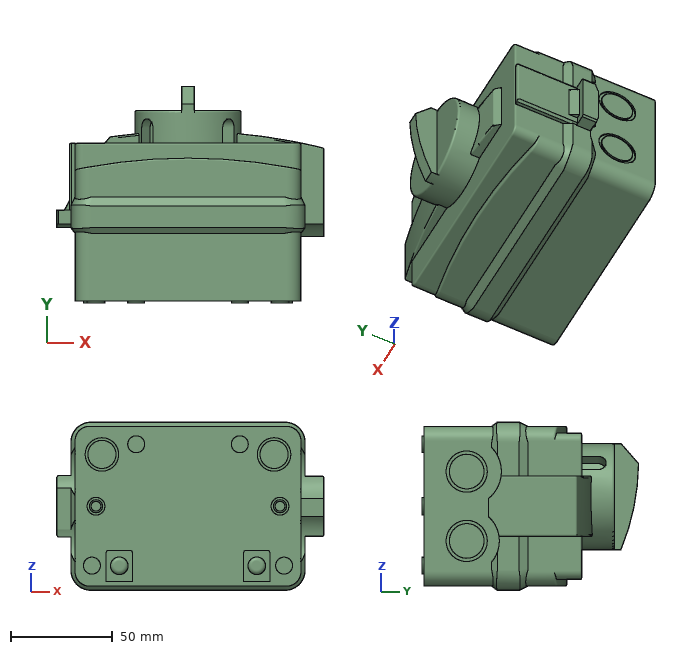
import cadquery as cq
import math


body_half_x = 55.35
body_half_z = 39.15
body_corner = 7.0
rim_step = 2.1
rim_half_x = body_half_x + rim_step
rim_half_z = body_half_z + rim_step
rim_corner = 10.0
bevel_outer_corner = 9.2
bevel_inner_corner = 8.8
rim_back_start = 33.2
rim_back_end = 36.0
rim_front_start = 46.7
rim_front_end = 51.1

lid_half_z = 35.9
lid_corner = 4.1
lid_front = 77.4
lid_edge = 0.9
arch_radius = 275.0
shoulder_peak = 70.1
shoulder_edge = 1.0

entry_y = 21.0
entry_z = 17.0
entry_outer_radius = 10.1
entry_inner_radius = 8.5
groove_depth = 0.8
clearance_radius_upper = 17.0
clearance_radius_lower = 16.0

plate_half_z = 15.1
plate_x = -58.2
plate_edge = 1.2
catch_x = -64.4
catch_front = 44.6
catch_back = 36.0
catch_edge = 0.9
ramp_x = -60.6
ramp_front = 49.2
ramp_half_z = 10.0

strap_half_z = 14.8
strap_end_x = 66.6
strap_start_x = -38.2
strap_foot_x = -40.9
strap_peak = 83.2
strap_back = 31.6
strap_edge = 0.9

knob_z = 4.7
knob_radius = 26.1
knob_front = 93.5
knob_edge = 1.1
blade_half_x = 3.15
blade_shoulder = 96.6
blade_peak = 105.3
blade_peak_z = 20.9
blade_middle = 103.0
blade_middle_z = -0.6
left_slot_x = -19.9
left_slot_direction = 127.0
right_slot_x = 19.2
right_slot_direction = 28.0
slot_center_z = 20.9
slot_width = 8.4
slot_depth = 7.8
slot_front = 89.3

foot_height = 1.0
foot_radius = 4.15
upper_foot_x = 25.4
upper_foot_z = 30.4
lower_foot_x = 47.1
lower_foot_z = -29.1
knockout_x = 42.2
knockout_z = 25.4
knockout_outer_radius = 8.2
knockout_inner_radius = 6.9
boss_x = 45.1
boss_radius = 4.35
boss_recess_radius = 3.2
boss_hole_radius = 2.4
boss_recess_depth = 0.9
boss_hole_depth = 4.0
pocket_x = 33.7
pocket_width = 12.8
pocket_top = -21.7
pocket_bottom = -37.0
pocket_depth = 8.0
pocket_corner = 1.0
screw_z = -29.2
screw_radius = 4.3
screw_tip_radius = 2.3


def section(y):
    """Sketch plane at depth y, with local x along X and local y along Z."""
    return cq.Workplane("XZ", origin=(0, y, 0))


def rounded_block(half_x, half_z, corner, y_back, y_front):
    block = section(y_back).rect(2 * half_x, 2 * half_z).extrude(y_back - y_front)
    return block.edges("|Y").fillet(corner)


def box_between(x0, x1, y0, y1, z0, z1):
    return cq.Workplane("XY").box(x1 - x0, y1 - y0, z1 - z0, centered=False).translate((x0, y0, z0))


def y_cylinder(x, z, radius, y_back, y_front):
    return section(y_back).center(x, z).circle(radius).extrude(y_back - y_front)


def arch_y(peak, x):
    """Depth at position x of an arch whose top lies at x = 0."""
    return peak - arch_radius + math.sqrt(arch_radius**2 - x**2)


def rim_bevel(y_body, y_rim):
    """Sloped transition between the body outline and the rim outline."""
    inner = cq.Sketch().rect(2 * body_half_x, 2 * body_half_z).vertices().fillet(bevel_inner_corner)
    outer = cq.Sketch().rect(2 * rim_half_x, 2 * rim_half_z).vertices().fillet(bevel_outer_corner)
    outer = outer.moved(cq.Location(cq.Vector(0, 0, y_body - y_rim)))
    return section(y_body).placeSketch(inner, outer).loft(ruled=True)


def make_rim():
    """Raised band round the housing, with a bevel along both edges."""
    rim = rounded_block(rim_half_x, rim_half_z, rim_corner, rim_back_end, rim_front_start)
    envelope = rounded_block(rim_half_x, rim_half_z, rim_corner, rim_back_start, rim_front_end)
    for y_body, y_rim in ((rim_back_start, rim_back_end), (rim_front_end, rim_front_start)):
        rim = rim.union(rim_bevel(y_body, y_rim).intersect(envelope))
    return rim


def make_housing():
    end_y = arch_y(shoulder_peak, body_half_x)
    body = (
        cq.Workplane("XY", origin=(0, 0, -body_half_z))
        .moveTo(-body_half_x, 0)
        .hLine(2 * body_half_x)
        .vLine(end_y)
        .threePointArc((0, shoulder_peak), (-body_half_x, end_y))
        .close()
        .extrude(2 * body_half_z)
    )
    body = body.edges("|Y").fillet(body_corner)
    body = body.faces(">Y").edges().fillet(shoulder_edge)
    lid = rounded_block(body_half_x, lid_half_z, lid_corner, rim_front_end, lid_front)
    lid = lid.faces(">Y").edges().fillet(lid_edge)
    return body.union(lid).union(make_rim())


def make_catch():
    plate = box_between(plate_x, -body_half_x, catch_back, lid_front, -plate_half_z, plate_half_z)
    plate = plate.edges("<X and |Y").chamfer(plate_edge)
    plate = plate.faces(">Y").edges("<X").fillet(catch_edge)
    block = box_between(catch_x, -body_half_x, catch_back, catch_front, -plate_half_z, plate_half_z)
    block = block.edges("<X and |Y").chamfer(catch_edge)
    ramp = (
        cq.Workplane("XY", origin=(0, 0, -ramp_half_z))
        .polyline([(plate_x, ramp_front), (ramp_x, catch_front), (plate_x, catch_front)])
        .close()
        .extrude(2 * ramp_half_z)
    )
    return plate.union(block).union(ramp)


def make_strap():
    strap = (
        cq.Workplane("XY", origin=(0, 0, -strap_half_z))
        .moveTo(strap_foot_x, lid_front)
        .lineTo(strap_start_x, arch_y(strap_peak, strap_start_x))
        .threePointArc((0, strap_peak), (strap_end_x, arch_y(strap_peak, strap_end_x)))
        .lineTo(strap_end_x, strap_back)
        .lineTo(0, strap_back)
        .lineTo(0, lid_front - lid_edge)
        .lineTo(strap_foot_x, lid_front - lid_edge)
        .close()
        .extrude(2 * strap_half_z)
    )
    return strap.faces(">X or >Y").edges("not <Y").fillet(strap_edge)


def make_entry_clearances():
    """Round clearances beside the end walls, around each cable entry."""
    clearances = cq.Workplane("YZ")
    for wall_x, direction in ((-body_half_x, -1), (body_half_x, 1)):
        for z, radius in ((entry_z, clearance_radius_upper), (-entry_z, clearance_radius_lower)):
            plane = cq.Workplane("YZ", origin=(wall_x, entry_y, z))
            clearances = clearances.add(plane.circle(radius).extrude(direction * strap_end_x))
    return clearances.combine()


def make_entry_grooves():
    grooves = cq.Workplane("YZ")
    for wall_x, direction in ((-body_half_x, 1), (body_half_x, -1)):
        for z in (entry_z, -entry_z):
            plane = cq.Workplane("YZ", origin=(wall_x, entry_y, z))
            ring = plane.circle(entry_outer_radius).circle(entry_inner_radius)
            grooves = grooves.add(ring.extrude(direction * groove_depth))
    return grooves.combine()


def make_slot(center_x, direction):
    """Sunken slot in the knob side with a round front end; direction is the angle it opens towards."""
    slot_radius = slot_width / 2
    length = slot_front - slot_radius - lid_front
    return (
        cq.Workplane("YZ", origin=(-slot_depth, lid_front, 0))
        .moveTo(0, -slot_radius)
        .hLine(length)
        .threePointArc((length + slot_radius, 0), (length, slot_radius))
        .hLine(-length)
        .close()
        .extrude(2 * slot_depth)
        .rotate((0, 0, 0), (0, 1, 0), -direction)
        .translate((center_x, 0, slot_center_z))
    )


def make_blade():
    """Grip across the knob, trimmed round at its ends to follow the knob rim."""
    blade = (
        cq.Workplane("YZ", origin=(-blade_half_x, 0, 0))
        .moveTo(lid_front, knob_z + knob_radius)
        .lineTo(blade_shoulder, knob_z + knob_radius)
        .lineTo(blade_peak, blade_peak_z)
        .threePointArc((blade_middle, blade_middle_z), (blade_shoulder, knob_z - knob_radius))
        .lineTo(lid_front, knob_z - knob_radius)
        .close()
        .extrude(2 * blade_half_x)
    )
    return blade.intersect(y_cylinder(0, knob_z, knob_radius, lid_front, blade_peak))


def make_knob():
    knob = y_cylinder(0, knob_z, knob_radius, lid_front - lid_edge, knob_front)
    knob = knob.faces(">Y").edges().fillet(knob_edge)
    return knob.union(make_blade())


def make_feet():
    feet = cq.Workplane("XZ")
    for side in (-1, 1):
        for x, z in ((upper_foot_x, upper_foot_z), (lower_foot_x, lower_foot_z)):
            feet = feet.add(y_cylinder(side * x, z, foot_radius, -foot_height, foot_height))
        feet = feet.add(y_cylinder(side * boss_x, 0, boss_radius, -foot_height, foot_height))
    return feet.combine()


def finish_mounting_face(part):
    for side in (-1, 1):
        knockout = section(0).center(side * knockout_x, knockout_z)
        ring = knockout.circle(knockout_outer_radius).circle(knockout_inner_radius)
        part = part.cut(ring.extrude(-groove_depth))

        recess_floor = boss_recess_depth - foot_height
        part = part.cut(y_cylinder(side * boss_x, 0, boss_recess_radius, -foot_height, recess_floor))
        part = part.cut(y_cylinder(side * boss_x, 0, boss_hole_radius, -foot_height, boss_hole_depth))

        x = side * pocket_x
        half_width = pocket_width / 2
        pocket = box_between(x - half_width, x + half_width, 0, pocket_depth, pocket_bottom, pocket_top)
        part = part.cut(pocket.edges("|Y and >Z").fillet(pocket_corner))
        screw = y_cylinder(x, screw_z, screw_radius, 0, pocket_depth)
        screw = screw.faces("<Y").edges().fillet(screw_radius - screw_tip_radius)
        part = part.union(screw)
    return part


result = make_housing().union(make_catch()).union(make_strap())
result = result.cut(make_entry_clearances()).cut(make_entry_grooves())
result = result.union(make_knob()).union(make_feet())
result = result.cut(make_slot(left_slot_x, left_slot_direction))
result = result.cut(make_slot(right_slot_x, right_slot_direction))
result = finish_mounting_face(result)